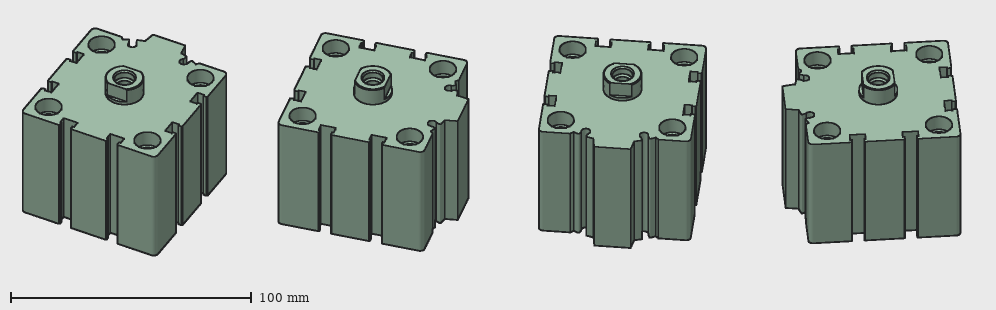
import cadquery as cq
import math

SIDE = 63.5
HALF = SIDE / 2
OVERALL_DEPTH = 71.0
HOUSING_HEIGHT = 53.0
CORNER_RADIUS = 2.0

RAIL_TOP_Y = OVERALL_DEPTH - HALF
RAIL_TOP_HALF_WIDTH = 7.6
RAIL_ROOT_HALF_WIDTH = 8.5
SHOULDER_RADIUS = 35.0
NOTCH_X = 17.2

KEYHOLE_X = 12.15
KEYHOLE_Y = 29.55
KEYHOLE_DIAMETER = 3.7
KEYHOLE_MOUTH_WIDTH = 3.1
KEYHOLE_MOUTH_LENGTH = 5.7
KEYHOLE_LIP_RADIUS = 0.35

SLOT_OFFSET = 11.0
SLOT_DEPTH = 5.0
SLOT_WIDTH = 6.5
SLOT_MOUTH_WIDTH = 5.05
SLOT_LIP_DEPTH = 1.85
SLOT_LIP_CHAMFER = 0.35

MOUNT_OFFSET = 23.3
MOUNT_DIAMETER = 6.7
MOUNT_COUNTERBORE_DIAMETER = 11.0
MOUNT_COUNTERBORE_DEPTH = 6.95
MOUNT_SINK_DIAMETER = 8.0

ROD_DIAMETER = 16.0
ROD_TOP = 61.0
ROD_INSERTION = 17.75
ROD_CHAMFER = 0.35
FLAT_SPACING = 13.0
FLAT_LENGTH = 6.5

BORE_MOUTH_DIAMETER = 9.6
BORE_MOUTH_DEPTH = 0.7
BORE_DIAMETER = 8.4
BORE_DEPTH = 3.55
DRILL_DIAMETER = 6.7
DRILL_DEPTH = 14.9
DRILL_TIP_ANGLE = 118


def housing_block():
    """Square block with rounded corners, rail and arc shoulders, extruded upward."""
    shoulder_y = math.sqrt(SHOULDER_RADIUS**2 - RAIL_ROOT_HALF_WIDTH**2)
    notch_y = math.sqrt(SHOULDER_RADIUS**2 - NOTCH_X**2)
    flank_x = NOTCH_X + HALF - notch_y
    arc_middle_angle = (math.atan2(shoulder_y, RAIL_ROOT_HALF_WIDTH) + math.atan2(notch_y, NOTCH_X)) / 2
    arc_middle_x = SHOULDER_RADIUS * math.cos(arc_middle_angle)
    arc_middle_y = SHOULDER_RADIUS * math.sin(arc_middle_angle)
    block = (
        cq.Workplane("XY")
        .moveTo(-HALF, -HALF)
        .lineTo(HALF, -HALF)
        .lineTo(HALF, HALF)
        .lineTo(flank_x, HALF)
        .lineTo(NOTCH_X, notch_y)
        .threePointArc((arc_middle_x, arc_middle_y), (RAIL_ROOT_HALF_WIDTH, shoulder_y))
        .lineTo(RAIL_TOP_HALF_WIDTH, RAIL_TOP_Y)
        .lineTo(-RAIL_TOP_HALF_WIDTH, RAIL_TOP_Y)
        .lineTo(-RAIL_ROOT_HALF_WIDTH, shoulder_y)
        .threePointArc((-arc_middle_x, arc_middle_y), (-NOTCH_X, notch_y))
        .lineTo(-flank_x, HALF)
        .lineTo(-HALF, HALF)
        .close()
        .extrude(HOUSING_HEIGHT)
    )
    for x in (-HALF, HALF):
        for y in (-HALF, HALF):
            corner = cq.selectors.NearestToPointSelector((x, y, HOUSING_HEIGHT / 2))
            block = block.edges("|Z").edges(corner).fillet(CORNER_RADIUS)
    return block


def keyhole_groove():
    """Cutter for the groove on the +X side of the rail: a round bottom and a radial mouth."""
    round_bottom = (
        cq.Workplane("XY").center(KEYHOLE_X, KEYHOLE_Y).circle(KEYHOLE_DIAMETER / 2).extrude(HOUSING_HEIGHT)
    )
    mouth_angle = math.degrees(math.atan2(KEYHOLE_Y, KEYHOLE_X))
    mouth = (
        cq.Workplane("XY")
        .rect(KEYHOLE_MOUTH_LENGTH, KEYHOLE_MOUTH_WIDTH)
        .extrude(HOUSING_HEIGHT)
        .translate((KEYHOLE_MOUTH_LENGTH / 2, 0, 0))
        .rotate((0, 0, 0), (0, 0, 1), mouth_angle)
        .translate((KEYHOLE_X, KEYHOLE_Y, 0))
    )
    return round_bottom.union(mouth)


def round_keyhole_lips(housing):
    """Round the edges where each groove mouth meets the shoulder arc."""
    half_mouth = KEYHOLE_MOUTH_WIDTH / 2
    mouth_angle = math.atan2(KEYHOLE_Y, KEYHOLE_X)
    lip_angle = math.asin(half_mouth / SHOULDER_RADIUS)
    for angle in (mouth_angle - lip_angle, mouth_angle + lip_angle):
        x = SHOULDER_RADIUS * math.cos(angle)
        y = SHOULDER_RADIUS * math.sin(angle)
        for side in (-1, 1):
            lip = cq.selectors.NearestToPointSelector((side * x, y, HOUSING_HEIGHT / 2))
            housing = housing.edges("|Z").edges(lip).fillet(KEYHOLE_LIP_RADIUS)
    return housing


def t_slot(side_angle, offset):
    """Cutter for one T-slot in the -Y side, turned about Z onto the wanted side."""
    half_mouth = SLOT_MOUTH_WIDTH / 2
    half_slot = SLOT_WIDTH / 2
    profile = [
        (half_mouth + SLOT_LIP_CHAMFER, 0),
        (half_mouth, SLOT_LIP_CHAMFER),
        (half_mouth, SLOT_LIP_DEPTH),
        (half_slot, SLOT_LIP_DEPTH),
        (half_slot, SLOT_DEPTH),
    ]
    mirrored = [(-x, y) for x, y in reversed(profile)]
    return (
        cq.Workplane("XY")
        .polyline(profile + mirrored)
        .close()
        .extrude(HOUSING_HEIGHT)
        .translate((offset, -HALF, 0))
        .rotate((0, 0, 0), (0, 0, 1), side_angle)
    )


def mounting_holes():
    """Cutter for the four through holes, each with a counterbore and a 45 degree sink below it."""
    hole_radius = MOUNT_DIAMETER / 2
    sink_radius = MOUNT_SINK_DIAMETER / 2
    counterbore_radius = MOUNT_COUNTERBORE_DIAMETER / 2
    counterbore_floor = HOUSING_HEIGHT - MOUNT_COUNTERBORE_DEPTH
    sink_bottom = counterbore_floor - (sink_radius - hole_radius)
    hole = (
        cq.Workplane("XZ")
        .moveTo(0, 0)
        .lineTo(hole_radius, 0)
        .lineTo(hole_radius, sink_bottom)
        .lineTo(sink_radius, counterbore_floor)
        .lineTo(counterbore_radius, counterbore_floor)
        .lineTo(counterbore_radius, HOUSING_HEIGHT)
        .lineTo(0, HOUSING_HEIGHT)
        .close()
        .revolve(360, (0, 0, 0), (0, 1, 0))
        .val()
    )
    spacing = 2 * MOUNT_OFFSET
    return cq.Workplane("XY").rarray(spacing, spacing, 2, 2).eachpoint(lambda place: hole.moved(place))


def make_housing():
    housing = housing_block()
    groove = keyhole_groove()
    housing = housing.cut(groove).cut(groove.mirror("YZ"))
    housing = round_keyhole_lips(housing)
    for side_angle in (-90, 0, 90):
        for offset in (-SLOT_OFFSET, SLOT_OFFSET):
            housing = housing.cut(t_slot(side_angle, offset))
    housing = housing.cut(mounting_holes())
    rod_socket = (
        cq.Workplane("XY")
        .workplane(offset=HOUSING_HEIGHT - ROD_INSERTION)
        .circle(ROD_DIAMETER / 2)
        .extrude(ROD_INSERTION)
    )
    return housing.cut(rod_socket)


def rod_end_hole():
    """Cutter for the stepped hole: conical mouth, bore, 45 degree step, drill with conical tip."""
    bore_radius = BORE_DIAMETER / 2
    drill_radius = DRILL_DIAMETER / 2
    step_depth = bore_radius - drill_radius
    tip_depth = drill_radius / math.tan(math.radians(DRILL_TIP_ANGLE / 2))
    return (
        cq.Workplane("XZ")
        .moveTo(0, ROD_TOP)
        .lineTo(BORE_MOUTH_DIAMETER / 2, ROD_TOP)
        .lineTo(bore_radius, ROD_TOP - BORE_MOUTH_DEPTH)
        .lineTo(bore_radius, ROD_TOP - BORE_DEPTH)
        .lineTo(drill_radius, ROD_TOP - BORE_DEPTH - step_depth)
        .lineTo(drill_radius, ROD_TOP - DRILL_DEPTH)
        .lineTo(0, ROD_TOP - DRILL_DEPTH - tip_depth)
        .close()
        .revolve(360, (0, 0, 0), (0, 1, 0))
    )


def make_rod():
    rod_bottom = HOUSING_HEIGHT - ROD_INSERTION
    rod = (
        cq.Workplane("XY")
        .workplane(offset=rod_bottom)
        .circle(ROD_DIAMETER / 2)
        .extrude(ROD_TOP - rod_bottom)
        .faces(">Z")
        .chamfer(ROD_CHAMFER)
    )
    cut_depth = (ROD_DIAMETER - FLAT_SPACING) / 2
    for side in (-1, 1):
        flat_cut = (
            cq.Workplane("XY")
            .workplane(offset=ROD_TOP - FLAT_LENGTH)
            .center(0, side * (FLAT_SPACING + cut_depth) / 2)
            .rect(ROD_DIAMETER, cut_depth)
            .extrude(FLAT_LENGTH)
        )
        rod = rod.cut(flat_cut)
    return rod.cut(rod_end_hole())


housing = make_housing()
rod = make_rod()

result = cq.Compound.makeCompound([housing.val(), rod.val()])